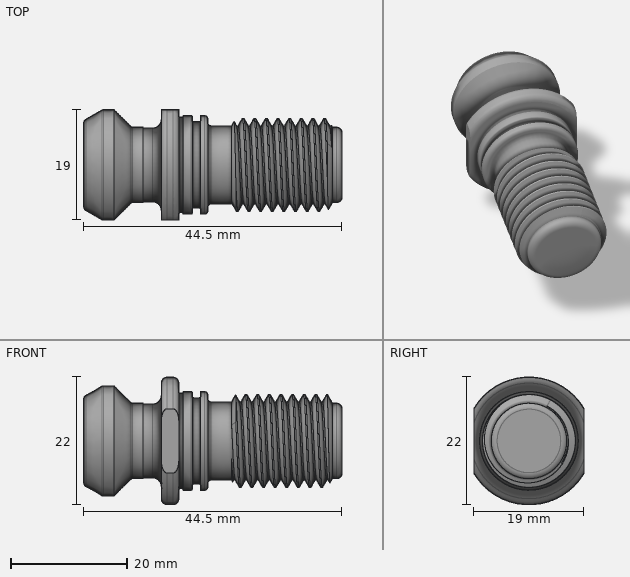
import cadquery as cq
import math

total_length = 44.5

head_diameter = 19.0
head_radius = head_diameter / 2
head_face_rounding = 0.75
head_cone_angle = 30.0
head_cone_end = 3.25
head_edge_rounding = 0.5
head_cylinder_end = 5.2
head_back_angle = 45.0

neck_radius = 6.5
neck_rounding = 0.38
neck_step = 10.25
neck_relief_radius = 6.35
neck_fillet = 1.45

flange_start = 13.35
flange_end = 16.38
flange_radius = 11.0
flange_rounding = 1.02
across_flats = head_diameter

undercut_radius = 8.25
undercut_fillet = 0.2
collar_radius = 8.5
collar_start = 17.15
collar_end = 21.35
collar_start_rounding = 0.065
collar_end_rounding = 0.6
groove_start = 18.7
groove_end = 20.1
groove_radius = 7.45
groove_edge_rounding = 0.22
groove_fillet = 0.22

shank_diameter = 13.5
shank_radius = shank_diameter / 2
shank_fillet = 0.55
tail_radius = 6.5
tail_start = 42.8
tail_rounding = 1.02

pitch = 2.0
crest_radius = 8.0
crest_width = pitch / 8
flank_angle = 30.0
thread_start = 25.45
crest_at_top = 27.95
bevel_angle = 30.0
bevel_clearance = 0.45
root_overlap = 0.15

hole_mouth_radius = 2.25
hole_radius = 1.3
hole_depth = 4.45
countersink_half_angle = 45.0
drill_point_half_angle = 59.0


def tangent(degrees):
    return math.tan(math.radians(degrees))


def step_towards(start, end, distance):
    """Point at the given distance from start on the line to end."""
    share = distance / math.dist(start, end)
    return (start[0] + (end[0] - start[0]) * share, start[1] + (end[1] - start[1]) * share)


def revolve_about_x(corners):
    """Revolve a closed (x, radius, rounding) outline, rounding each corner by a tangent arc."""
    outline = cq.Workplane("XY").moveTo(*corners[0][:2])
    for before, corner, after in zip(corners, corners[1:], corners[2:] + corners[:1]):
        point = corner[:2]
        rounding = corner[2]
        if rounding == 0:
            outline = outline.lineTo(*point)
            continue
        heading_in = math.atan2(point[1] - before[1], point[0] - before[0])
        heading_out = math.atan2(after[1] - point[1], after[0] - point[0])
        turn = math.remainder(heading_out - heading_in, 2 * math.pi)
        setback = rounding * math.tan(abs(turn) / 2)
        arc_start = step_towards(point, before[:2], setback)
        arc_end = step_towards(point, after[:2], setback)
        outline = outline.lineTo(*arc_start).radiusArc(arc_end, -math.copysign(rounding, turn))
    return outline.close().revolve(360, (0, 0, 0), (1, 0, 0))


def make_front_body():
    """Head, neck, flange, collar and plain shank, up to the start of the thread."""
    face_corner_radius = head_radius - head_cone_end * tangent(head_cone_angle)
    neck_start = head_cylinder_end + (head_radius - neck_radius) / tangent(head_back_angle)
    head_and_neck = [
        (0, 0, 0),
        (0, face_corner_radius, head_face_rounding),
        (head_cone_end, head_radius, head_edge_rounding),
        (head_cylinder_end, head_radius, 0),
        (neck_start, neck_radius, neck_rounding),
        (neck_step, neck_radius, 0),
        (neck_step, neck_relief_radius, 0),
    ]
    flange = [
        (flange_start, neck_relief_radius, neck_fillet),
        (flange_start, flange_radius, flange_rounding),
        (flange_end, flange_radius, flange_rounding),
        (flange_end, undercut_radius, undercut_fillet),
    ]
    collar = [
        (collar_start, undercut_radius, undercut_fillet),
        (collar_start, collar_radius, collar_start_rounding),
        (groove_start, collar_radius, groove_edge_rounding),
        (groove_start, groove_radius, groove_fillet),
        (groove_end, groove_radius, groove_fillet),
        (groove_end, collar_radius, 0),
        (collar_end, collar_radius, collar_end_rounding),
    ]
    shank = [
        (collar_end, shank_radius, shank_fillet),
        (thread_start, shank_radius, 0),
        (thread_start, 0, 0),
    ]
    return revolve_about_x(head_and_neck + flange + collar + shank)


def make_wrench_space():
    """Block that leaves the two wrench flats when the body is cut down to it."""
    return cq.Workplane("XY").box(
        total_length, across_flats, 2 * flange_radius, centered=(False, True, True)
    )


def make_thread_ridge():
    """Helical ridge that runs past both ends of the threaded length."""
    base_radius = shank_radius - root_overlap
    half_crest = crest_width / 2
    half_base = half_crest + (crest_radius - base_radius) * tangent(flank_angle)
    turns_before = math.ceil((crest_at_top - thread_start) / pitch) + 1
    turns_after = math.ceil((tail_start - crest_at_top) / pitch) + 1
    helix = cq.Wire.makeHelix(pitch, (turns_before + turns_after) * pitch, base_radius)
    profile = [
        (base_radius, -half_base),
        (crest_radius, -half_crest),
        (crest_radius, half_crest),
        (base_radius, half_base),
    ]
    ridge = cq.Workplane("XZ").polyline(profile).close().sweep(cq.Workplane(obj=helix), isFrenet=True)
    return (
        ridge.rotate((0, 0, 0), (0, 1, 0), 90)
        .rotate((0, 0, 0), (1, 0, 0), 180)
        .translate((crest_at_top - turns_before * pitch, 0, 0))
    )


def make_threaded_end():
    """Threaded shank with bevelled thread ends and a plain rounded tail."""
    core_length = total_length + 4 * pitch
    shank_core = cq.Workplane("YZ").circle(shank_radius).extrude(core_length)
    clear_radius = crest_radius + bevel_clearance
    bevel_slope = tangent(bevel_angle)
    envelope = revolve_about_x(
        [
            (thread_start, 0, 0),
            (thread_start, shank_radius, 0),
            (thread_start + (clear_radius - shank_radius) * bevel_slope, clear_radius, 0),
            (tail_start - (clear_radius - tail_radius) * bevel_slope, clear_radius, 0),
            (tail_start, tail_radius, 0),
            (total_length, tail_radius, tail_rounding),
            (total_length, 0, 0),
        ]
    )
    return shank_core.union(make_thread_ridge()).intersect(envelope)


def make_centre_hole():
    """Countersunk blind hole with a drill-point bottom."""
    countersink_depth = (hole_mouth_radius - hole_radius) / tangent(countersink_half_angle)
    point_depth = hole_radius / tangent(drill_point_half_angle)
    return revolve_about_x(
        [
            (0, 0, 0),
            (0, hole_mouth_radius, 0),
            (countersink_depth, hole_radius, 0),
            (hole_depth, hole_radius, 0),
            (hole_depth + point_depth, 0, 0),
        ]
    )


front_body = make_front_body().intersect(make_wrench_space()).cut(make_centre_hole())
result = front_body.union(make_threaded_end()).solids()